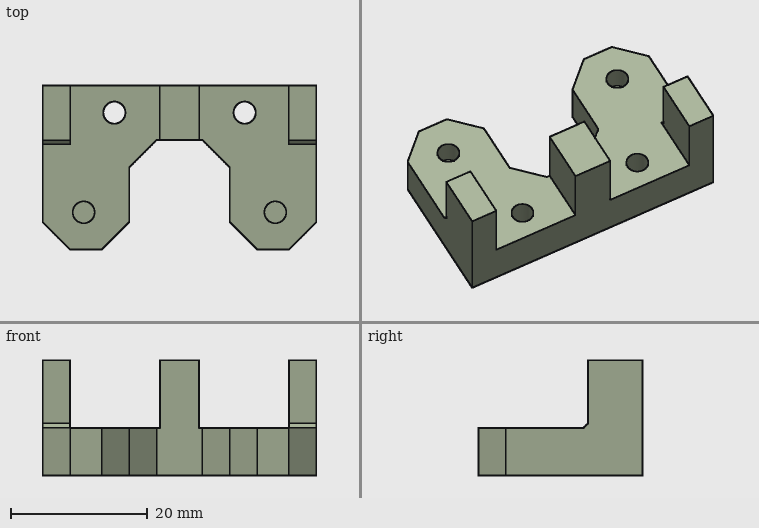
import cadquery as cq

width = 40.0
depth = 24.0
height = 16.9
base_height = 7.0
corner_cut = 4.0

notch_width = 14.7
wall_depth = 8.0

side_post_width = 4.0
centre_post_width = 5.75
post_foot_chamfer = 0.65

hole_diameter = 3.2
through_hole_spacing = 19.05
through_hole_from_back = 4.0
blind_hole_spacing = 28.0
blind_hole_from_back = 18.55
blind_hole_depth = 4.0

half_width = width / 2
half_notch = notch_width / 2
back = depth / 2
front = -depth / 2
bridge_front = back - wall_depth


def make_base():
    """U-shaped plate with cut corners on both legs and in the notch."""
    right_side = [
        (half_width, back),
        (half_width, front + corner_cut),
        (half_width - corner_cut, front),
        (half_notch + corner_cut, front),
        (half_notch, front + corner_cut),
        (half_notch, bridge_front - corner_cut),
        (half_notch - corner_cut, bridge_front),
    ]
    left_side = [(-x, y) for x, y in reversed(right_side)]
    return cq.Workplane("XY").polyline(right_side + left_side).close().extrude(base_height)


def make_side_post(left_edge):
    """Post with a small sloped foot where it meets the base."""
    profile = [
        (back, 0),
        (back, height),
        (bridge_front, height),
        (bridge_front, base_height + post_foot_chamfer),
        (bridge_front - post_foot_chamfer, base_height),
        (bridge_front - post_foot_chamfer, 0),
    ]
    post = cq.Workplane("YZ").polyline(profile).close().extrude(side_post_width)
    return post.translate((left_edge, 0, 0))


def make_centre_post():
    """Plain post flush with the back face and the notch."""
    return cq.Workplane("XY").box(
        centre_post_width, wall_depth, height, centered=(True, False, False)
    ).translate((0, bridge_front, 0))


def make_hole_pair(spacing, from_back, hole_depth):
    """Two cylinders reaching down from the top of the base."""
    return (
        cq.Workplane("XY", origin=(0, 0, base_height))
        .pushPoints([(side * spacing / 2, back - from_back) for side in (-1, 1)])
        .circle(hole_diameter / 2)
        .extrude(-hole_depth)
    )


result = make_base().union(make_centre_post())
for post_left_edge in (-half_width, half_width - side_post_width):
    result = result.union(make_side_post(post_left_edge))
result = result.cut(make_hole_pair(through_hole_spacing, through_hole_from_back, base_height))
result = result.cut(make_hole_pair(blind_hole_spacing, blind_hole_from_back, blind_hole_depth))